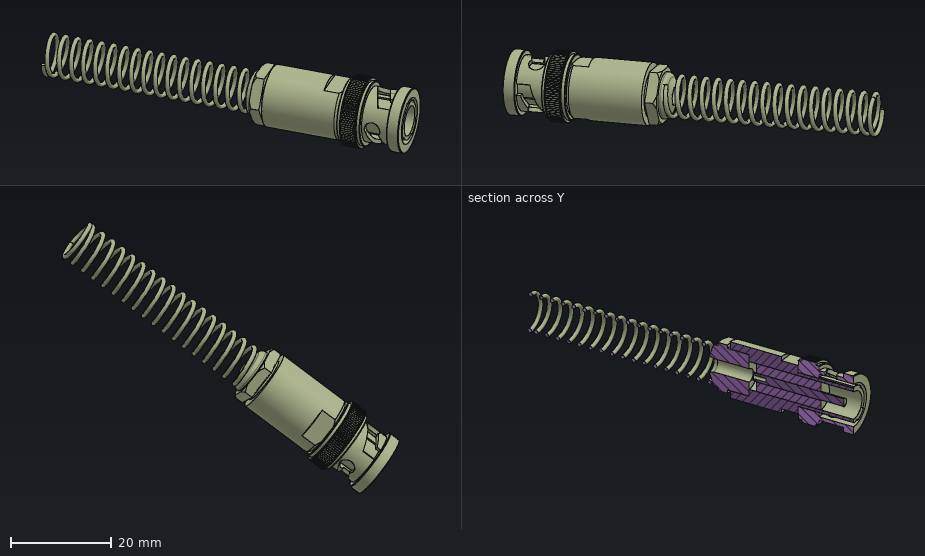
import cadquery as cq
import math

TOTAL_LENGTH = 76.5

WIRE_RADIUS = 0.5
COIL_RADIUS = 4.09
SPRING_PITCH = 2.54
SPRING_TURNS = 16.95
FLAT_TURN_ANGLE = 243.0

NOSE_START = 43.2
NOSE_RADIUS = 4.75
NOSE_ROUNDING = 1.0
NOSE_CONE_HEIGHT = 0.7
NOSE_TIP_RADIUS = 1.8
GLAND_BORE_RADIUS = 1.45
BORE_TAPER_DEPTH = 1.15
HEX_START = 44.6
HEX_END = 46.9
HEX_ACROSS_FLATS = 10.95
HEX_CHAMFER = 0.6
GLAND_END = 52.0

BODY_START = 47.5
BODY_RADIUS = 6.39
BODY_CHAMFER = 0.6
FLATS_START = 59.6
BARREL_RADIUS = 3.9
BORE_RADIUS = 3.05
PAD_RADIUS = 4.2
PAD_START_ANGLE = 50.0
PAD_END_ANGLE = 89.0

COUPLING_START = 63.4
FLANGE_RADIUS = 6.65
KNURL_START = 64.25
KNURL_END = 67.6
KNURL_RADIUS = 7.23
KNURL_DEPTH = 0.15
KNURL_TEETH = 96
KNURL_BAND = 0.2
KNURL_CHAMFER = 0.1
COLLAR_END = 68.4
COLLAR_CHAMFER = 0.15
SLEEVE_RADIUS = 5.65
SLEEVE_BORE_RADIUS = 4.75
RIM_START = 74.0
RIM_CHAMFER = 0.15

SLOT_COUNT = 3
SLOT_OVERCUT = 0.2
LOCK_HOLE_RADIUS = 1.645
LOCK_HOLE_X = 70.6
LOCK_HOLE_ANGLE = 62.5
ENTRY_START_ANGLE = 109.0
ENTRY_END_ANGLE = 133.0
RAMP_START_ANGLE = 72.0
RAMP_WIDTH = 2.7
RAMP_TWIST = 32.03
RAMP_END_X = 73.05

CONTACT_RADIUS = 0.9
CONTACT_BORE_RADIUS = 0.4
CONTACT_BORE_DEPTH = 3.05
CONTACT_START = 52.8
CONTACT_END = 74.2
INSULATOR_START = 53.55
INSULATOR_END = 68.85

ORIGIN = (0, 0, 0)
X_AXIS = (1, 0, 0)


def turned(points):
    """Solid of revolution about X from (x, radius) points."""
    return cq.Workplane("XZ").polyline(points).close().revolve(360, ORIGIN, X_AXIS)


def rod(start, end, radius):
    return turned([(start, 0), (start, radius), (end, radius), (end, 0)])


def sector(start, end, first_angle, last_angle, inner, outer, twist=0.0):
    """Ring sector along X between two angles and two radii, which may twist about X."""
    middle_angle = (first_angle + last_angle) / 2

    def on_arc(radius, degrees):
        angle = math.radians(degrees)
        return (radius * math.cos(angle), radius * math.sin(angle))

    outline = (
        cq.Workplane("YZ", origin=(start, 0, 0))
        .moveTo(*on_arc(inner, first_angle))
        .lineTo(*on_arc(outer, first_angle))
        .threePointArc(on_arc(outer, middle_angle), on_arc(outer, last_angle))
        .lineTo(*on_arc(inner, last_angle))
        .threePointArc(on_arc(inner, middle_angle), on_arc(inner, first_angle))
        .close()
    )
    if twist:
        return outline.twistExtrude(end - start, twist)
    return outline.extrude(end - start)


def make_spring():
    flat_turn = (
        cq.Workplane("XY", origin=(WIRE_RADIUS, -COIL_RADIUS, 0))
        .circle(WIRE_RADIUS)
        .revolve(FLAT_TURN_ANGLE, (0, COIL_RADIUS, 0), (1, COIL_RADIUS, 0))
    )
    coil_length = SPRING_PITCH * SPRING_TURNS
    helix = cq.Wire.makeHelix(SPRING_PITCH, coil_length, COIL_RADIUS, dir=cq.Vector(*X_AXIS))
    start = helix.startPoint()
    section_plane = cq.Plane(origin=start.toTuple(), xDir=X_AXIS, normal=helix.tangentAt(0).toTuple())
    coil = cq.Workplane(section_plane).circle(WIRE_RADIUS).sweep(cq.Workplane(obj=helix), isFrenet=True)
    coil = coil.rotate(ORIGIN, X_AXIS, FLAT_TURN_ANGLE + 90).translate((WIRE_RADIUS, 0, 0))
    return flat_turn.union(coil)


def make_gland(spring):
    tip = NOSE_START - NOSE_CONE_HEIGHT
    nose = rod(NOSE_START, GLAND_END, NOSE_RADIUS).faces("<X").edges().fillet(NOSE_ROUNDING)
    cone = turned([
        (tip, 0), (tip, NOSE_TIP_RADIUS), (NOSE_START, NOSE_RADIUS - NOSE_ROUNDING), (NOSE_START, 0),
    ])
    corner_radius = HEX_ACROSS_FLATS / math.sqrt(3)
    hexagon = (
        cq.Workplane("YZ", origin=(HEX_START, 0, 0))
        .polygon(6, 2 * corner_radius)
        .extrude(HEX_END - HEX_START)
    )
    hex_envelope = rod(HEX_START, HEX_END, corner_radius).faces("<X").edges().chamfer(HEX_CHAMFER)
    taper_end = tip + BORE_TAPER_DEPTH
    bore = turned([
        (tip, 0), (tip, NOSE_TIP_RADIUS), (taper_end, GLAND_BORE_RADIUS),
        (GLAND_END, GLAND_BORE_RADIUS), (GLAND_END, 0),
    ])
    gland = nose.union(cone).union(hexagon.intersect(hex_envelope))
    return gland.cut(bore).cut(spring)


def make_body():
    body = rod(BODY_START, COUPLING_START, BODY_RADIUS).faces(">X").edges().chamfer(BODY_CHAMFER)
    flat_band = cq.Workplane("XY").box(
        COUPLING_START - FLATS_START, 2 * BODY_RADIUS, HEX_ACROSS_FLATS, centered=(False, True, True)
    ).translate((FLATS_START, 0, 0))
    body = body.intersect(rod(BODY_START, FLATS_START, BODY_RADIUS).union(flat_band))
    body = body.union(rod(COUPLING_START, TOTAL_LENGTH, BARREL_RADIUS))
    pad = sector(COLLAR_END, TOTAL_LENGTH, PAD_START_ANGLE, PAD_END_ANGLE, BORE_RADIUS, PAD_RADIUS)
    for i in range(SLOT_COUNT):
        body = body.union(pad.rotate(ORIGIN, X_AXIS, 360 / SLOT_COUNT * i))
    gland_socket = rod(BODY_START, GLAND_END, NOSE_RADIUS)
    return body.cut(gland_socket).cut(rod(GLAND_END, TOTAL_LENGTH, BORE_RADIUS))


def make_knurl():
    points = []
    for i in range(2 * KNURL_TEETH):
        radius = KNURL_RADIUS - KNURL_DEPTH * (i % 2)
        angle = math.pi * i / KNURL_TEETH
        points.append((radius * math.cos(angle), radius * math.sin(angle)))
    teeth_start = KNURL_START + KNURL_BAND
    teeth_end = KNURL_END - KNURL_BAND
    teeth = (
        cq.Workplane("YZ", origin=(teeth_start, 0, 0))
        .polyline(points)
        .close()
        .extrude(teeth_end - teeth_start)
    )
    rear_band = rod(KNURL_START, teeth_start, KNURL_RADIUS).faces("<X").edges().chamfer(KNURL_CHAMFER)
    front_band = rod(teeth_end, KNURL_END, KNURL_RADIUS).faces(">X").edges().chamfer(KNURL_CHAMFER)
    return rear_band.union(teeth).union(front_band)


def make_slot_cutters():
    """The lock hole, the helical ramp and the straight entry channel of one slot."""
    lock_hole = (
        cq.Workplane("XY", origin=(LOCK_HOLE_X, 0, 0))
        .circle(LOCK_HOLE_RADIUS)
        .extrude(SLEEVE_RADIUS + SLOT_OVERCUT)
        .rotate(ORIGIN, X_AXIS, LOCK_HOLE_ANGLE - 90)
    )
    twist = RAMP_TWIST * (RAMP_END_X - COLLAR_END)
    first_angle = ENTRY_START_ANGLE - twist
    last_angle = first_angle + RAMP_WIDTH * RAMP_TWIST
    inner = SLEEVE_BORE_RADIUS - SLOT_OVERCUT
    outer = SLEEVE_RADIUS + SLOT_OVERCUT
    band = sector(COLLAR_END, RAMP_END_X, first_angle, last_angle, inner, outer, twist)
    limits_inner = inner - SLOT_OVERCUT
    limits_outer = outer + SLOT_OVERCUT
    limits = sector(
        COLLAR_END, TOTAL_LENGTH, RAMP_START_ANGLE, ENTRY_END_ANGLE, limits_inner, limits_outer
    )
    entry = sector(RAMP_END_X, RIM_START, ENTRY_START_ANGLE, ENTRY_END_ANGLE, inner, outer)
    return [lock_hole, band.intersect(limits), entry]


def make_coupling():
    coupling = (
        rod(COUPLING_START, COLLAR_END, FLANGE_RADIUS).edges("%CIRCLE").chamfer(COLLAR_CHAMFER)
        .union(make_knurl())
        .union(rod(COLLAR_END, TOTAL_LENGTH, SLEEVE_RADIUS))
        .union(rod(RIM_START, TOTAL_LENGTH, FLANGE_RADIUS).edges("%CIRCLE").chamfer(RIM_CHAMFER))
        .cut(rod(COUPLING_START, COLLAR_END, BARREL_RADIUS))
        .cut(rod(COLLAR_END, TOTAL_LENGTH, SLEEVE_BORE_RADIUS))
    )
    slot_cutters = make_slot_cutters()
    for i in range(SLOT_COUNT):
        for cutter in slot_cutters:
            coupling = coupling.cut(cutter.rotate(ORIGIN, X_AXIS, 360 / SLOT_COUNT * i))
    return coupling


def make_insulator():
    outer = rod(INSULATOR_START, INSULATOR_END, BORE_RADIUS)
    return outer.cut(rod(INSULATOR_START, INSULATOR_END, CONTACT_RADIUS))


def make_contact():
    wire_bore = rod(CONTACT_START, CONTACT_START + CONTACT_BORE_DEPTH, CONTACT_BORE_RADIUS)
    return rod(CONTACT_START, CONTACT_END, CONTACT_RADIUS).cut(wire_bore)


spring = make_spring()
gland = make_gland(spring)
body = make_body()
coupling = make_coupling()
insulator = make_insulator()
contact = make_contact()
result = cq.Compound.makeCompound([
    spring.val(), gland.val(), body.val(), coupling.val(), insulator.val(), contact.val(),
])